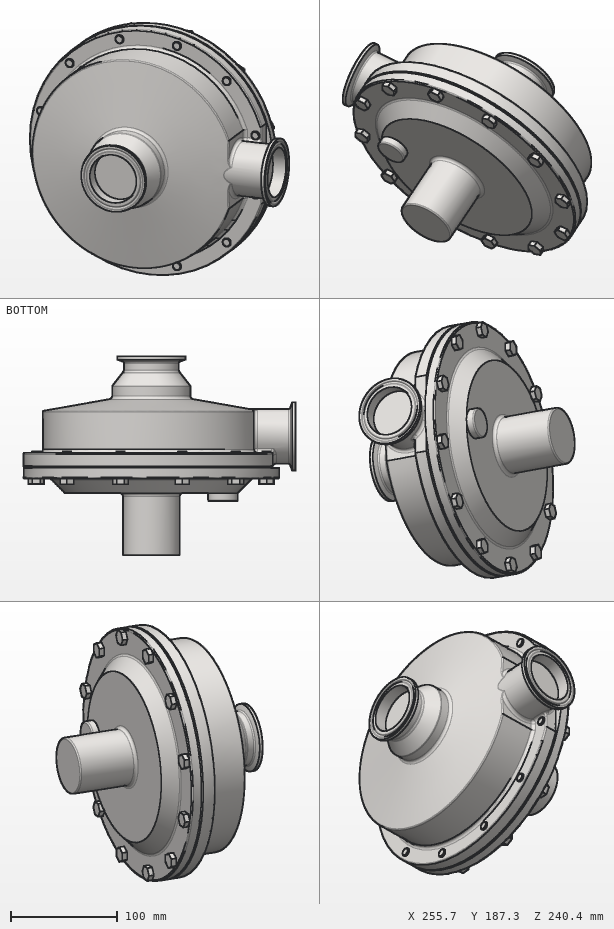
import cadquery as cq
import math


tolerance = 0.03

weld_radius = 3.0
edge_radius = 1.3

pipe_radius = 25.8
bore_radius = 23.5
ferrule_radius = 32.2
ferrule_rim = 3.3
ferrule_taper_angle = 20.0
ferrule_fillet_radius = 1.5
ferrule_pipe_length = 13.0
groove_center_radius = 28.5
groove_radius = 1.0
groove_lip_radius = 0.8

reducer_small_radius = 26.9
reducer_small = 15.4
neck_radius = 36.8
neck_start = 28.1

drum_radius = 102.0
drum_front = 51.5
cone_angle = 10.0
flange_radius = 120.2
body_flange_front = 90.8
body_flange_back = 103.4
drum_flat = 96.5
flange_flat = 114.0

spigot_radius = 105.0
cover_front = 105.2
cover_flange_back = 115.1
cover_top = 128.7
cover_top_radius = 81.4
shaft_radius = 26.9
shaft_end = 187.3
boss_radius = 14.0
boss_x = cover_top_radius - boss_radius
boss_end = 136.4

outlet_y = 75.5
outlet_face = 135.5
outlet_inner_end = 76.8

bolt_count = 12
bolt_circle_radius = 112.0
bolt_radius = 4.0
bolt_front = 89.3
bolt_chamfer = 0.5
bolt_back = 120.2
head_sides = 6
head_corner_diameter = 14.8
head_turn = 15.0


def cylinder(radius, start, end, x=0.0, z=0.0):
    """Solid cylinder parallel to Y between two Y positions."""
    plane = cq.Workplane("XZ", origin=(x, start, z))
    return plane.circle(radius).extrude(start - end)


def revolve_about_y(profile):
    """Solid of revolution from a closed profile of (radius, Y) points."""
    return profile.close().revolve(360, (0, 0, 0), (0, 1, 0))


def fillet_where(solid, condition, radius):
    """Fillet the edges that meet a condition."""
    return solid.newObject([e for e in solid.edges().vals() if condition(e)]).fillet(radius)


def fillet_rings(solid, radius, y, fillet_radius):
    """Fillet the full circles about the Y axis with this radius at this Y."""
    def is_ring(edge):
        if edge.geomType() != "CIRCLE":
            return False
        return abs(edge.radius() - radius) < tolerance and abs(edge.Center().y - y) < tolerance
    return fillet_where(solid, is_ring, fillet_radius)


def ferrule_pipe(length):
    """Pipe along +Y with its ferrule face at Y = 0."""
    taper_length = (ferrule_radius - pipe_radius) * math.tan(math.radians(ferrule_taper_angle))
    taper_end = ferrule_rim + taper_length
    profile = (
        cq.Workplane("XY")
        .moveTo(0, 0)
        .lineTo(ferrule_radius, 0)
        .lineTo(ferrule_radius, ferrule_rim)
        .lineTo(pipe_radius, taper_end)
        .lineTo(pipe_radius, length)
        .lineTo(0, length)
    )
    pipe = revolve_about_y(profile)
    return fillet_rings(pipe, pipe_radius, taper_end, ferrule_fillet_radius)


def ferrule_recess():
    """Bore and round-lipped gasket groove cut into a ferrule face at Y = 0."""
    bore = cylinder(bore_radius, 0, ferrule_pipe_length)
    lip_angle = math.acos(groove_lip_radius / (groove_radius + groove_lip_radius))
    lip_center = (groove_radius + groove_lip_radius) * math.sin(lip_angle)
    touch_x = groove_radius * math.sin(lip_angle)
    touch_y = groove_radius * math.cos(lip_angle)
    half = lip_angle / 2
    lip_mid_x = lip_center - groove_lip_radius * math.sin(half)
    lip_mid_y = groove_lip_radius * (1 - math.cos(half))
    groove = (
        cq.Workplane("XY")
        .center(groove_center_radius, 0)
        .moveTo(-lip_center, 0)
        .threePointArc((-lip_mid_x, lip_mid_y), (-touch_x, touch_y))
        .threePointArc((0, groove_radius), (touch_x, touch_y))
        .threePointArc((lip_mid_x, lip_mid_y), (lip_center, 0))
        .close()
        .revolve(360, (-groove_center_radius, 0, 0), (-groove_center_radius, 1, 0))
    )
    return bore.union(groove)


def on_outlet(shape):
    """Move a shape built along +Y from Y = 0 onto the outlet, pointing to -X."""
    turned = shape.rotate((0, 0, 0), (0, 0, 1), 90)
    return turned.translate((outlet_face, outlet_y, 0))


def inlet_neck():
    """Inlet pipe widening through a conical reducer to the neck on the volute cone."""
    profile = (
        cq.Workplane("XY")
        .moveTo(0, ferrule_pipe_length)
        .lineTo(pipe_radius, ferrule_pipe_length)
        .lineTo(reducer_small_radius, reducer_small)
        .lineTo(neck_radius, neck_start)
        .lineTo(neck_radius, drum_front)
        .lineTo(0, drum_front)
    )
    neck = revolve_about_y(profile).union(ferrule_pipe(ferrule_pipe_length))
    neck = fillet_rings(neck, pipe_radius, ferrule_pipe_length, edge_radius)
    neck = fillet_rings(neck, reducer_small_radius, reducer_small, edge_radius)
    return fillet_rings(neck, neck_radius, neck_start, edge_radius)


def drum_and_cone():
    """Full round drum with its shallow front cone and the inlet neck."""
    cone_height = (drum_radius - neck_radius) * math.tan(math.radians(cone_angle))
    cone_front = drum_front - cone_height
    profile = (
        cq.Workplane("XY")
        .moveTo(0, cone_front)
        .lineTo(neck_radius, cone_front)
        .lineTo(drum_radius, drum_front)
        .lineTo(drum_radius, body_flange_back)
        .lineTo(0, body_flange_back)
    )
    drum = revolve_about_y(profile).union(inlet_neck())
    return fillet_rings(drum, neck_radius, cone_front, weld_radius)


def cut_flat(solid, x):
    """Remove everything beyond the plane at X = x."""
    span = 3 * flange_radius
    cutter = cq.Workplane("XY").box(span, span, span)
    return solid.cut(cutter.translate((x + span / 2, 0, 0)))


def is_weld_edge(edge):
    """True for inner corners between the outlet pipe, drum and body flange."""
    box = edge.BoundingBox()
    on_pipe = all(
        abs(math.hypot(vertex.Y - outlet_y, vertex.Z) - pipe_radius) < tolerance
        for vertex in edge.Vertices()
    )
    pipe_joint = on_pipe and drum_flat - edge_radius < box.xmin and box.xmax < flange_flat + tolerance
    lowest = body_flange_front - tolerance
    highest = body_flange_front + tolerance
    at_flange = lowest < box.ymin and box.ymax < highest
    drum_joint = at_flange and box.xmax < drum_flat + tolerance and box.zmax < drum_radius + tolerance
    return pipe_joint or drum_joint


def is_drum_rim(edge):
    """True for the corner between the drum, its flat and the front cone."""
    rim_band = edge_radius + tolerance
    box = edge.BoundingBox()
    near_rim = drum_front - rim_band < box.ymin and box.ymax < drum_front + rim_band
    return near_rim and box.zlen > edge_radius and box.xmax > drum_flat - tolerance


def make_body():
    """Volute body with its flange, the inlet neck and the side outlet."""
    flange = cut_flat(cylinder(flange_radius, body_flange_front, body_flange_back), flange_flat)
    flange = flange.faces("<Y").edges().fillet(edge_radius)
    outlet = on_outlet(ferrule_pipe(outlet_face - outlet_inner_end))
    body = cut_flat(drum_and_cone(), drum_flat).union(flange).union(outlet)
    body = fillet_where(body, is_weld_edge, weld_radius)
    return fillet_where(body, is_drum_rim, edge_radius)


def make_cover():
    """Cover with its spigot, flange, sloped crown, drive shaft and boss."""
    crown_radius = cover_top_radius + cover_top - cover_flange_back
    profile = (
        cq.Workplane("XY")
        .moveTo(0, cover_front)
        .lineTo(flange_radius, cover_front)
        .lineTo(flange_radius, cover_flange_back)
        .lineTo(crown_radius, cover_flange_back)
        .lineTo(cover_top_radius, cover_top)
        .lineTo(shaft_radius, cover_top)
        .lineTo(shaft_radius, shaft_end)
        .lineTo(0, shaft_end)
    )
    cover = revolve_about_y(profile)
    cover = fillet_rings(cover, crown_radius, cover_flange_back, weld_radius)
    cover = fillet_rings(cover, shaft_radius, cover_top, weld_radius)
    cover = fillet_rings(cover, flange_radius, cover_flange_back, edge_radius)
    cover = cover.faces(">Y").edges().fillet(edge_radius)

    boss = cylinder(boss_radius, cover_flange_back, boss_end, x=boss_x)
    boss = boss.faces(">Y").edges().fillet(edge_radius)
    spigot = cylinder(spigot_radius, body_flange_back, cover_front)
    return cover.union(boss).union(spigot)


def make_bolt(angle):
    """Hex bolt through both flanges at an angle on the bolt circle, in degrees."""
    head = (
        cq.Workplane("XZ", origin=(0, cover_flange_back, 0))
        .polygon(head_sides, head_corner_diameter)
        .extrude(cover_flange_back - bolt_back)
    )
    shank = cylinder(bolt_radius, bolt_front, cover_flange_back)
    shank = shank.faces("<Y").edges().chamfer(bolt_chamfer)
    bolt = head.union(shank).rotate((0, 0, 0), (0, 1, 0), head_turn)
    bolt = bolt.translate((bolt_circle_radius, 0, 0))
    return bolt.rotate((0, 0, 0), (0, 1, 0), -angle)


result = make_body().union(make_cover())
bolt_step = 360 / bolt_count
for index in range(bolt_count):
    result = result.union(make_bolt((index + 0.5) * bolt_step))
result = result.cut(ferrule_recess()).cut(on_outlet(ferrule_recess()))